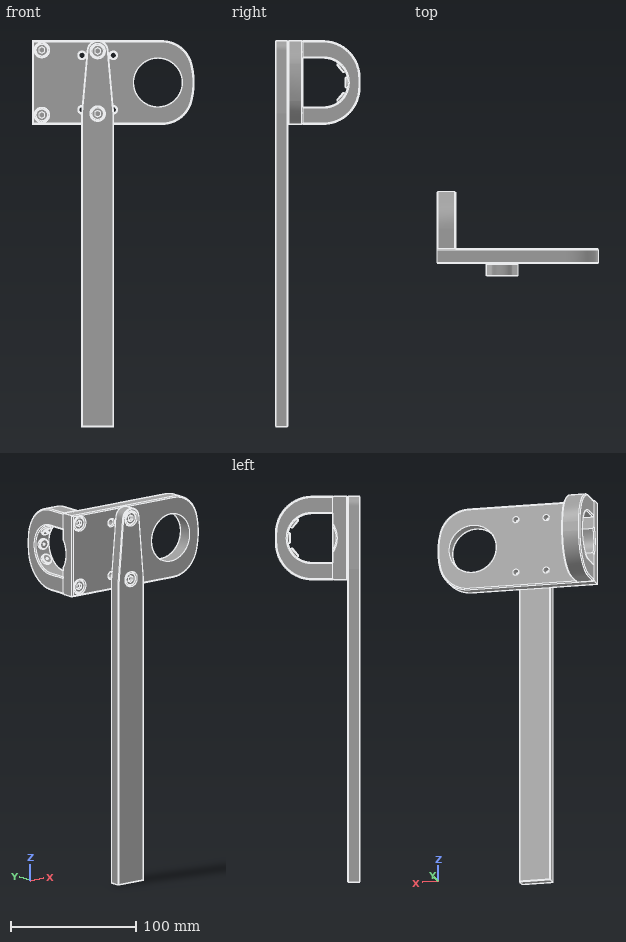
import cadquery as cq
import math


PLATE_LENGTH = 129.3
PLATE_HEIGHT = 67.0
PLATE_THICKNESS = 12.0
EDGE_CHAMFER = 1.0
BORE_RADIUS = 19.5
BORE_END_DISTANCE = 29.0
PLATE_CORNER_RADIUS = 24.7
PLATE_END_RADIUS = 60.2

BRACKET_THICKNESS = 15.0
BRACKET_DEPTH = 45.7
BRACKET_CORNER_RADIUS = 29.5

ARM_LENGTH = 308.5
ARM_WIDTH = 25.5
ARM_THICKNESS = 10.0
ARM_TIP_RADIUS = 8.3
ARM_CENTER_X = 52.0
ARM_CHAMFER = 0.5
ARM_SCREW_SPACING = 50.0

SIDE_HOLE_RADIUS = 2.5
SIDE_HOLE_SPACING_X = 25.0
SIDE_HOLE_SPACING_Z = 43.5
SIDE_HOLE_CHAMFER = 1.0

HEAD_RADIUS = 5.5
HEAD_HEIGHT = 6.0
HEAD_CHAMFER = 1.0
SHANK_RADIUS = 3.0
SHANK_LENGTH = 14.0
SOCKET_FLATS = 4.5
SOCKET_DEPTH = 2.8
COUNTERBORE_RADIUS = 6.2
COUNTERBORE_DEPTH = 6.5
BRACKET_SCREW_SPACING = 51.8

CLAMP_RADIUS = 4.3
CLAMP_CHAMFER = 0.5
CLAMP_PROJECTION = 2.5
CLAMP_EMBEDDED_LENGTH = 5.0
CLAMP_SOCKET_FLATS = 1.5
CLAMP_SOCKET_DEPTH = 1.5
CLAMP_ANGLES = (-40, 0, 40)

TOP_Z = PLATE_HEIGHT / 2
END_BULGE = PLATE_END_RADIUS - math.sqrt(PLATE_END_RADIUS**2 - TOP_Z**2)
BORE_X = PLATE_LENGTH - BORE_END_DISTANCE
BRACKET_END_Y = PLATE_THICKNESS + BRACKET_DEPTH
ARCH_Y = BRACKET_END_Y - BORE_END_DISTANCE
CLAMP_TIP_RADIUS = BORE_RADIUS - CLAMP_PROJECTION
ARM_TIP_Z = TOP_Z - ARM_TIP_RADIUS
ARM_SHOULDER_Z = ARM_TIP_Z - ARM_SCREW_SPACING
ARM_SCREW_PLACES = [(ARM_CENTER_X, ARM_TIP_Z), (ARM_CENTER_X, ARM_SHOULDER_Z)]
BRACKET_SCREW_PLACES = [
    (BRACKET_THICKNESS / 2, side * BRACKET_SCREW_SPACING / 2) for side in (-1, 1)
]


def cylinder_along_y(x, y, z, radius, length):
    """Cylinder that starts at (x, y, z) and runs toward +Y."""
    return cq.Workplane(cq.Solid.makeCylinder(radius, length, cq.Vector(x, y, z), cq.Vector(0, 1, 0)))


def hexagonal_socket(x, y, z, flats, depth):
    """Hexagonal recess with the given width across flats and two corners on its Z axis, sunk toward +Y."""
    corner_diameter = flats / math.cos(math.pi / 6)
    return (
        cq.Workplane("XZ", origin=(x, y, z))
        .transformed(rotate=(0, 0, 90))
        .polygon(6, corner_diameter)
        .extrude(-depth)
    )


def screw_hole(x, front_y, z):
    """Counterbored blind hole for one socket head screw, entering from front_y toward +Y."""
    head_room = cylinder_along_y(x, front_y, z, COUNTERBORE_RADIUS, COUNTERBORE_DEPTH)
    shank_room = cylinder_along_y(x, front_y + COUNTERBORE_DEPTH, z, SHANK_RADIUS, SHANK_LENGTH)
    return head_room.union(shank_room)


def socket_screw(x, front_y, z):
    """Socket head screw whose head sits on the floor of its counterbore."""
    seat_y = front_y + COUNTERBORE_DEPTH
    head = (
        cylinder_along_y(x, seat_y - HEAD_HEIGHT, z, HEAD_RADIUS, HEAD_HEIGHT)
        .faces("<Y")
        .chamfer(HEAD_CHAMFER)
    )
    socket = hexagonal_socket(x, seat_y - HEAD_HEIGHT, z, SOCKET_FLATS, SOCKET_DEPTH)
    shank = cylinder_along_y(x, seat_y, z, SHANK_RADIUS, SHANK_LENGTH)
    return head.cut(socket).union(shank)


def arch_bore():
    """Bore along X that rounds the bracket opening and dents the plate, flared at its left end."""
    bore = cq.Workplane("YZ", origin=(0, ARCH_Y, 0)).circle(BORE_RADIUS).extrude(BRACKET_THICKNESS)
    flare = cq.Solid.makeCone(
        BORE_RADIUS + EDGE_CHAMFER, BORE_RADIUS, EDGE_CHAMFER, cq.Vector(0, ARCH_Y, 0), cq.Vector(1, 0, 0)
    )
    return bore.union(cq.Workplane(flare))


def clamp_blank():
    """Plain cylinder of one clamping screw, on the radius of the arch that runs toward +Y from the X axis."""
    length = CLAMP_PROJECTION + CLAMP_EMBEDDED_LENGTH
    return cylinder_along_y(BRACKET_THICKNESS / 2, CLAMP_TIP_RADIUS, 0, CLAMP_RADIUS, length)


def turned_into_arch(body, angle):
    """Turn a body about the X axis by angle in degrees and move it to the centre of the arch."""
    return body.rotate((0, 0, 0), (1, 0, 0), angle).translate((0, ARCH_Y, 0))


def clamp_screw(angle):
    """Clamping screw with a chamfered tip and a small hexagonal recess."""
    recess = hexagonal_socket(
        BRACKET_THICKNESS / 2, CLAMP_TIP_RADIUS, 0, CLAMP_SOCKET_FLATS, CLAMP_SOCKET_DEPTH
    )
    body = clamp_blank().faces("<Y").chamfer(CLAMP_CHAMFER).cut(recess)
    return turned_into_arch(body, angle)


def side_hole(x, z):
    """Through hole in the plate with a chamfered front rim."""
    hole = cylinder_along_y(x, 0, z, SIDE_HOLE_RADIUS, PLATE_THICKNESS)
    rim = cq.Solid.makeCone(
        SIDE_HOLE_RADIUS + SIDE_HOLE_CHAMFER,
        SIDE_HOLE_RADIUS,
        SIDE_HOLE_CHAMFER,
        cq.Vector(x, 0, z),
        cq.Vector(0, 1, 0),
    )
    return hole.union(cq.Workplane(rim))


def make_plate():
    """Plate with a shallow arc between two rounded corners at its right end."""
    corner_x = PLATE_LENGTH - END_BULGE
    plate = (
        cq.Workplane("XZ")
        .moveTo(0, -TOP_Z)
        .lineTo(corner_x, -TOP_Z)
        .threePointArc((PLATE_LENGTH, 0), (corner_x, TOP_Z))
        .lineTo(0, TOP_Z)
        .close()
        .extrude(-PLATE_THICKNESS)
        .edges("|Y and (not <X)")
        .fillet(PLATE_CORNER_RADIUS)
        .faces("<Y or >Y")
        .edges("not(<X and >Y)")
        .chamfer(EDGE_CHAMFER)
    )
    plate = plate.cut(cylinder_along_y(BORE_X, 0, 0, BORE_RADIUS, PLATE_THICKNESS))
    for x_side in (-1, 1):
        for z_side in (-1, 1):
            x = ARM_CENTER_X + x_side * SIDE_HOLE_SPACING_X / 2
            plate = plate.cut(side_hole(x, z_side * SIDE_HOLE_SPACING_Z / 2))
    for x, z in BRACKET_SCREW_PLACES:
        plate = plate.cut(screw_hole(x, 0, z))
    for x, z in ARM_SCREW_PLACES:
        plate = plate.cut(screw_hole(x, -ARM_THICKNESS, z))
    return plate.cut(arch_bore())


def make_bracket():
    """U-shaped bracket whose two legs stand on the plate."""
    blank = (
        cq.Workplane("XY", origin=(0, PLATE_THICKNESS, 0))
        .box(BRACKET_THICKNESS, BRACKET_DEPTH, PLATE_HEIGHT, centered=(False, False, True))
        .edges("|X and >Y")
        .fillet(BRACKET_CORNER_RADIUS)
    )
    straight_opening = (
        cq.Workplane("XY", origin=(0, PLATE_THICKNESS, 0))
        .box(BRACKET_THICKNESS, ARCH_Y - PLATE_THICKNESS, 2 * BORE_RADIUS, centered=(False, False, True))
    )
    round_opening = (
        cq.Workplane("YZ", origin=(0, ARCH_Y, 0)).circle(BORE_RADIUS).extrude(BRACKET_THICKNESS)
    )
    bracket = (
        blank.cut(straight_opening)
        .cut(round_opening)
        .faces("<X or >X")
        .edges("not <Y")
        .chamfer(EDGE_CHAMFER)
    )
    for angle in CLAMP_ANGLES:
        bracket = bracket.cut(turned_into_arch(clamp_blank(), angle))
    for x, z in BRACKET_SCREW_PLACES:
        bracket = bracket.cut(screw_hole(x, 0, z))
    return bracket


def make_arm():
    """Long flat arm that tapers to a rounded tip at the top of the plate."""
    arm_bottom_z = TOP_Z - ARM_LENGTH
    half_width = ARM_WIDTH / 2
    drop = ARM_TIP_Z - ARM_SHOULDER_Z
    shoulder_distance = math.hypot(half_width, drop)
    tangent_angle = math.acos(ARM_TIP_RADIUS / shoulder_distance) - math.atan2(drop, half_width)
    tangent_x = ARM_TIP_RADIUS * math.cos(tangent_angle)
    tangent_z = ARM_TIP_Z + ARM_TIP_RADIUS * math.sin(tangent_angle)
    arm = (
        cq.Workplane("XZ", origin=(ARM_CENTER_X, 0, 0))
        .moveTo(-half_width, arm_bottom_z)
        .lineTo(half_width, arm_bottom_z)
        .lineTo(half_width, ARM_SHOULDER_Z)
        .lineTo(tangent_x, tangent_z)
        .threePointArc((0, TOP_Z), (-tangent_x, tangent_z))
        .lineTo(-half_width, ARM_SHOULDER_Z)
        .close()
        .extrude(ARM_THICKNESS)
        .faces("<Y or >Y")
        .chamfer(ARM_CHAMFER)
    )
    for x, z in ARM_SCREW_PLACES:
        arm = arm.cut(screw_hole(x, -ARM_THICKNESS, z))
    return arm


plate = make_plate()
bracket = make_bracket()
arm = make_arm()
bracket_screws = [socket_screw(x, 0, z) for x, z in BRACKET_SCREW_PLACES]
arm_screws = [socket_screw(x, -ARM_THICKNESS, z) for x, z in ARM_SCREW_PLACES]
clamp_screws = [clamp_screw(angle) for angle in CLAMP_ANGLES]

bodies = [plate, bracket, arm, *bracket_screws, *arm_screws, *clamp_screws]
result = cq.Compound.makeCompound([body.val() for body in bodies])